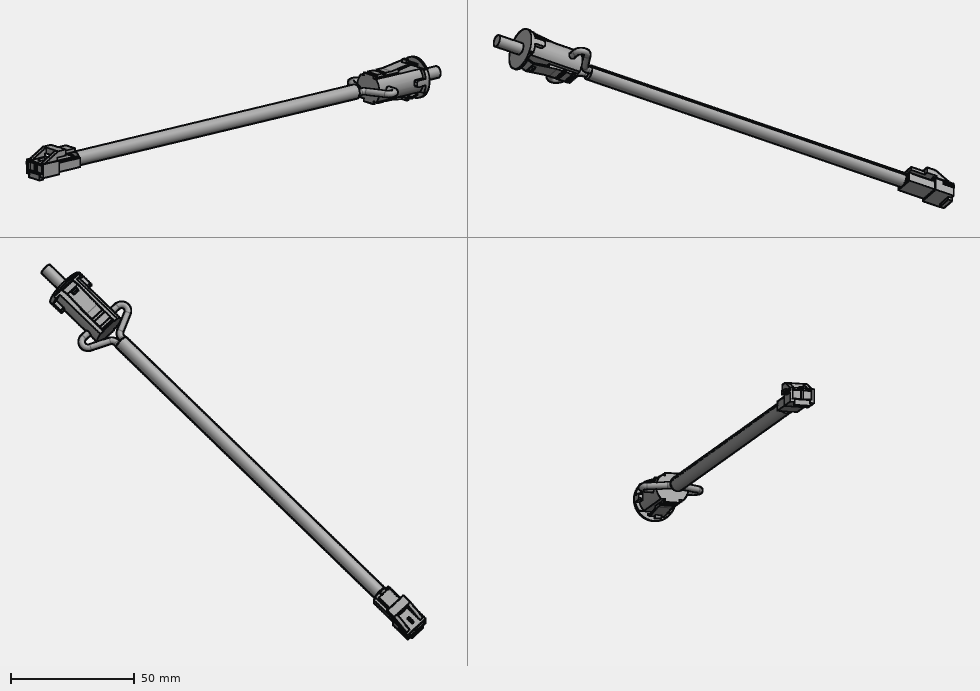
import cadquery as cq
import math

OVERALL_LENGTH = 216.0
REAR_END = OVERALL_LENGTH / 2

ROD_DIAMETER = 5.0
ROD_LENGTH = 11.2
FLANGE_DIAMETER = 17.0
FLANGE_THICKNESS = 0.9
SHOULDER_END = 13.2
BARREL_DIAMETER = 13.5
BARREL_FLATS = 9.7
BARREL_END = 36.7
LUG_END = 18.0
LUG_TIP = 0.6
LUG_HEIGHT = 2.8
CLIP_WIDTH = 6.0
CLIP_PAD_HEIGHT = 6.0
CLIP_ROOT = 23.1
CLIP_BEND = 26.8
CLIP_CREST = 15.8
CLIP_CREST_HEIGHT = 7.5
CLIP_TIP = 12.7
CLIP_TIP_HEIGHT = 6.5
CLIP_THICKNESS = 0.6
TOOTH_POSITION = 16.8
TOOTH_BASE = 2.0
TOOTH_CREST = 0.9
TOOTH_WIDTH = 2.5
TOOTH_SINK = 0.5
PAD_GROOVE_STARTS = (30.0, 34.5)
PAD_GROOVE_WIDTH = 1.3
PAD_GROOVE_DEPTH = 0.5

WIRE_DIAMETER = 2.8
WIRE_OFFSET = 1.5
WIRE_EXIT = 31.8
WIRE_DEPTH_X = 4.3
LOOP_OUTER_WIDTH = 27.0
LOOP_HALF_WIDTH = (LOOP_OUTER_WIDTH - WIRE_DIAMETER) / 2
LOOP_RADIUS = 2.5
NECK_RADIUS = 2.5
LEG_ANGLE = 25.0
WIRE_END = 200.9

SLEEVE_DIAMETER = 6.0
SLEEVE_START = 43.8
SLEEVE_END = 194.2

TAIL_START = 194.8
TAIL_WIDTH = 8.5
TAIL_TOP = 1.5
RIDGE_WIDTH = 5.8
RIDGE_TOP = 2.2
TAIL_BOTTOM = -2.4
HEAD_START = 207.0
HEAD_END = 215.5
HEAD_WIDTH = 10.2
HEAD_TOP = 2.8
HEAD_BOTTOM = -3.0
WIRE_NOTCH_END = 197.0
LEVER_START = 203.0
LEVER_WIDTH = 9.3
LEVER_TOP = 6.7
LEVER_UNDERSIDE = 4.0
LEVER_TOP_END = 207.1
LEVER_ROOT = 207.5
LEVER_RAMP_END = 214.5
TONGUE_START = 196.5
TONGUE_WIDTH = 5.8
TONGUE_TOP = 5.6
RIB_START = 210.5
RIB_END = 213.5
RIB_WIDTH = 0.9
RIB_HEIGHT = 1.0
KEY_START = 210.5
KEY_BOTTOM = 0.9
KEY_HEIGHT = 0.9
KEY_PROJECTION = 0.5
LIP_START = 214.0
LIP_WIDTH = 6.5
LIP_TOP = -2.0
LIP_BOTTOM = -4.3
CAVITY_SIZE = 3.7
CAVITY_SPACING = 4.5
CAVITY_HEIGHT = 0.2
CAVITY_DEPTH = 0.9


def y_at(distance):
    """Y coordinate at a distance from the rear tip."""
    return REAR_END - distance


def disc(diameter, start, end, x=0.0):
    """Cylinder along Y between two distances."""
    plane = cq.Workplane("XZ", origin=(x, y_at(start), 0))
    return plane.circle(diameter / 2).extrude(end - start)


def block(x_low, x_high, start, end, z_low, z_high):
    """Box between two X values, two distances and two heights."""
    box = cq.Workplane("XY").box(x_high - x_low, end - start, z_high - z_low, centered=False)
    return box.translate((x_low, y_at(end), z_low))


def centred_block(width, start, end, z_low, z_high):
    return block(-width / 2, width / 2, start, end, z_low, z_high)


def side_profile(points, width):
    """Outline of (distance, height) points, extruded symmetrically across X."""
    outline = [(y_at(distance), height) for distance, height in points]
    return cq.Workplane("YZ").polyline(outline).close().extrude(width / 2, both=True)


def make_clip():
    """Snap clip on the +Z flat: grooved pad, thin arm with a free tip, and locking tooth."""
    flat = BARREL_FLATS / 2
    clip = side_profile(
        [
            (CLIP_TIP, CLIP_TIP_HEIGHT),
            (CLIP_CREST, CLIP_CREST_HEIGHT),
            (CLIP_BEND, CLIP_PAD_HEIGHT),
            (BARREL_END, CLIP_PAD_HEIGHT),
            (BARREL_END, flat),
            (CLIP_ROOT, flat),
            (CLIP_ROOT, CLIP_PAD_HEIGHT - CLIP_THICKNESS / 2),
            (CLIP_CREST, CLIP_CREST_HEIGHT - CLIP_THICKNESS),
            (CLIP_TIP, CLIP_TIP_HEIGHT - CLIP_THICKNESS),
        ],
        CLIP_WIDTH,
    )
    for start in PAD_GROOVE_STARTS:
        bottom = CLIP_PAD_HEIGHT - PAD_GROOVE_DEPTH
        clip = clip.cut(centred_block(CLIP_WIDTH, start, start + PAD_GROOVE_WIDTH, bottom, CLIP_PAD_HEIGHT))
    tooth = side_profile(
        [
            (TOOTH_POSITION - TOOTH_BASE / 2, CLIP_CREST_HEIGHT - TOOTH_SINK),
            (TOOTH_POSITION - TOOTH_CREST / 2, FLANGE_DIAMETER / 2),
            (TOOTH_POSITION + TOOTH_CREST / 2, FLANGE_DIAMETER / 2),
            (TOOTH_POSITION + TOOTH_BASE / 2, CLIP_CREST_HEIGHT - TOOTH_SINK),
        ],
        TOOTH_WIDTH,
    )
    return clip.union(tooth)


def make_lug():
    """Side lug on +X with a chamfered tip, bounded outside by the flange diameter."""
    half = LUG_HEIGHT / 2
    outline = [
        (y_at(ROD_LENGTH), -half),
        (y_at(ROD_LENGTH), half),
        (y_at(LUG_END - LUG_TIP), half),
        (y_at(LUG_END), half - LUG_TIP),
        (y_at(LUG_END), LUG_TIP - half),
        (y_at(LUG_END - LUG_TIP), -half),
    ]
    lug = cq.Workplane("YZ").polyline(outline).close().extrude(FLANGE_DIAMETER / 2)
    return lug.intersect(disc(FLANGE_DIAMETER, ROD_LENGTH, LUG_END))


def make_housing(wires):
    flats = centred_block(FLANGE_DIAMETER, ROD_LENGTH, BARREL_END, -BARREL_FLATS / 2, BARREL_FLATS / 2)
    barrel = disc(BARREL_DIAMETER, ROD_LENGTH, BARREL_END)
    shoulder = disc(FLANGE_DIAMETER, ROD_LENGTH, SHOULDER_END)
    housing = barrel.union(shoulder).intersect(flats)
    housing = housing.union(disc(FLANGE_DIAMETER, ROD_LENGTH, ROD_LENGTH + FLANGE_THICKNESS))
    housing = housing.union(disc(ROD_DIAMETER, 0, ROD_LENGTH + FLANGE_THICKNESS))
    clip = make_clip()
    lug = make_lug()
    housing = housing.union(clip).union(clip.mirror("XY"))
    housing = housing.union(lug).union(lug.mirror("YZ"))
    for wire in wires:
        housing = housing.cut(wire)
    return housing


def make_wire(side):
    """Wire leaving the housing sideways (side = +1 or -1), looping back and running to the connector."""
    angle = math.radians(LEG_ANGLE)
    y_exit = y_at(WIRE_EXIT)
    loop_x = LOOP_HALF_WIDTH - LOOP_RADIUS
    loop_y = y_exit - LOOP_RADIUS
    neck_x = WIRE_OFFSET + NECK_RADIUS

    leg_start_x = loop_x + LOOP_RADIUS * math.sin(angle)
    leg_start_y = loop_y - LOOP_RADIUS * math.cos(angle)
    leg_end_x = neck_x - NECK_RADIUS * math.sin(angle)
    leg_end_y = leg_start_y - (leg_start_x - leg_end_x) * math.tan(angle)
    neck_y = leg_end_y - NECK_RADIUS * math.cos(angle)
    mid_neck = (math.pi / 2 - angle) / 2

    path = (
        cq.Workplane("XY")
        .moveTo(side * WIRE_DEPTH_X, y_exit)
        .lineTo(side * loop_x, y_exit)
        .radiusArc((side * LOOP_HALF_WIDTH, loop_y), side * LOOP_RADIUS)
        .radiusArc((side * leg_start_x, leg_start_y), side * LOOP_RADIUS)
        .lineTo(side * leg_end_x, leg_end_y)
        .threePointArc(
            (side * (neck_x - NECK_RADIUS * math.cos(mid_neck)), neck_y + NECK_RADIUS * math.sin(mid_neck)),
            (side * WIRE_OFFSET, neck_y),
        )
        .lineTo(side * WIRE_OFFSET, y_at(WIRE_END))
    )
    start = cq.Workplane("YZ", origin=(side * WIRE_DEPTH_X, y_exit, 0))
    return start.circle(WIRE_DIAMETER / 2).sweep(path)


def make_sleeve():
    sleeve = disc(SLEEVE_DIAMETER, SLEEVE_START, SLEEVE_END)
    for side in (-1, 1):
        sleeve = sleeve.cut(disc(WIRE_DIAMETER, SLEEVE_START, SLEEVE_END, side * WIRE_OFFSET))
    return sleeve


def make_lever():
    """Latch lever: two side ramps joined by a crossbar, with a release tongue to the rear."""
    lever = side_profile(
        [
            (LEVER_START, LEVER_UNDERSIDE),
            (LEVER_START, LEVER_TOP),
            (LEVER_TOP_END, LEVER_TOP),
            (LEVER_RAMP_END, HEAD_TOP),
            (LEVER_ROOT, HEAD_TOP),
            (LEVER_ROOT, LEVER_UNDERSIDE),
        ],
        LEVER_WIDTH,
    )
    window = centred_block(TONGUE_WIDTH, LEVER_TOP_END, LEVER_RAMP_END, HEAD_TOP, LEVER_TOP)
    tongue = centred_block(TONGUE_WIDTH, TONGUE_START, LEVER_START, LEVER_UNDERSIDE, TONGUE_TOP)
    return lever.cut(window).union(tongue)


def make_connector(wires):
    tail = centred_block(TAIL_WIDTH, TAIL_START, HEAD_START, TAIL_BOTTOM, TAIL_TOP)
    ridge = centred_block(RIDGE_WIDTH, TAIL_START, HEAD_START, TAIL_TOP, RIDGE_TOP)
    notch = centred_block(RIDGE_WIDTH, TAIL_START, WIRE_NOTCH_END, -WIRE_DIAMETER / 2, RIDGE_TOP)
    head = centred_block(HEAD_WIDTH, HEAD_START, HEAD_END, HEAD_BOTTOM, HEAD_TOP)
    connector = tail.union(ridge).cut(notch).union(head).union(make_lever())

    rib = centred_block(RIB_WIDTH, RIB_START, RIB_END, HEAD_TOP, HEAD_TOP + RIB_HEIGHT)
    key_x = -HEAD_WIDTH / 2
    key = block(key_x - KEY_PROJECTION, key_x, KEY_START, HEAD_END, KEY_BOTTOM, KEY_BOTTOM + KEY_HEIGHT)
    lip = centred_block(LIP_WIDTH, LIP_START, OVERALL_LENGTH, LIP_BOTTOM, LIP_TOP)
    connector = connector.union(rib).union(key).union(lip)

    cavities = (
        cq.Workplane("XZ", origin=(0, y_at(HEAD_END), CAVITY_HEIGHT))
        .pushPoints([(-CAVITY_SPACING / 2, 0), (CAVITY_SPACING / 2, 0)])
        .rect(CAVITY_SIZE, CAVITY_SIZE)
        .extrude(-CAVITY_DEPTH)
    )
    connector = connector.cut(cavities)
    for wire in wires:
        connector = connector.cut(wire)
    return connector


wires = [make_wire(side) for side in (-1, 1)]
housing = make_housing(wires)
sleeve = make_sleeve()
connector = make_connector(wires)

result = cq.Compound.makeCompound(
    [housing.val(), *[wire.val() for wire in wires], sleeve.val(), connector.val()]
)